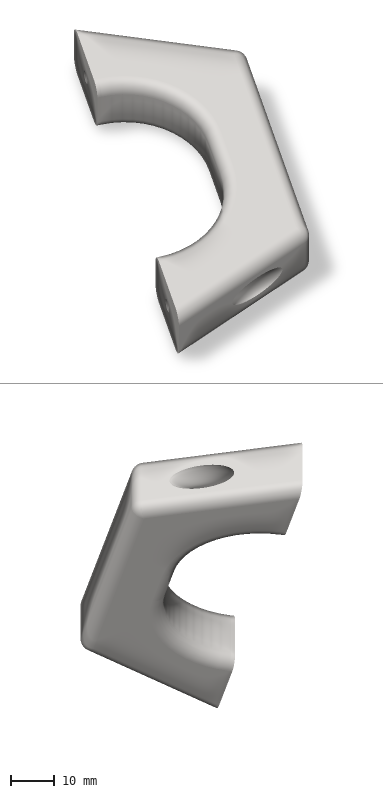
import cadquery as cq
import math

length = 90.0
height = 36.0
thickness = 15.0
side_angle = 25.0
edge_radius = 3.0

arch_radius = 20.0
arch_flat = 10.0
arch_leg = 1.0

screw_spacing = 70.0
screw_diameter = 3.2
head_diameter = 6.4
head_seat_height = 10.0


def handle_body():
    """Trapezoidal bar with an arched opening and rounded edges."""
    half_length = length / 2
    half_top = half_length - height * math.tan(math.radians(side_angle))
    half_flat = arch_flat / 2
    half_opening = half_flat + arch_radius
    crown = arch_leg + arch_radius
    diagonal = arch_radius * math.sqrt(0.5)

    outline = (
        cq.Workplane("XY")
        .workplane(offset=-thickness / 2)
        .moveTo(-half_length, 0)
        .lineTo(-half_top, height)
        .lineTo(half_top, height)
        .lineTo(half_length, 0)
        .lineTo(half_opening, 0)
        .lineTo(half_opening, arch_leg)
        .threePointArc((half_flat + diagonal, arch_leg + diagonal), (half_flat, crown))
        .lineTo(-half_flat, crown)
        .threePointArc((-half_flat - diagonal, arch_leg + diagonal), (-half_opening, arch_leg))
        .lineTo(-half_opening, 0)
        .close()
    )
    body = outline.extrude(thickness)

    top_corners = body.faces(">Y").edges("|Z")
    long_edges = body.faces("|Z").edges().filter(lambda edge: edge.Center().y > arch_leg / 4)
    return body.newObject(top_corners.vals() + long_edges.vals()).edges().fillet(edge_radius)


def hole_along_y(x, diameter, start):
    """Cylinder along Y from the given height to the top of the handle."""
    return cq.Workplane("XZ", origin=(x, start, 0)).circle(diameter / 2).extrude(start - height)


result = handle_body()
for screw_x in (-screw_spacing / 2, screw_spacing / 2):
    result = result.cut(hole_along_y(screw_x, screw_diameter, 0))
    result = result.cut(hole_along_y(screw_x, head_diameter, head_seat_height))